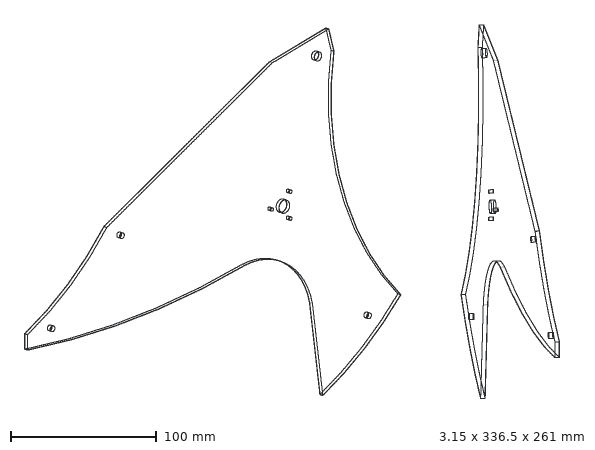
import cadquery as cq

thickness = 3.15
overall_length = 336.5
overall_height = 261.0

nose_forward = 231.5
crest_up = 119.5
tail_forward = nose_forward - overall_length
foot_up = crest_up - overall_height

crest = (-40.0, crest_up)
shoulder = (11.0, 104.7)
brow = (160.2, 14.8)
nose_top = (nose_forward, -48.5)
nose_bottom = (nose_forward, -59.5)
belly_start = (35.5, -35.5)
leg_top = (-25.2, -73.7)
foot = (-34.7, foot_up)
tail = (tail_forward, -82.5)
back_top = (-44.8, 102.5)

brow_curve = (197.5, -24.5)
belly_curve = (104.7, -50.8)
armpit_curve = (-3.5, -42.0)
tail_curve = (-84.0, -104.5)
back_curve = (-54.5, -2.7)

hub_diameter = 9.5
crest_hole_diameter = 6.5
crest_hole = (-30.3, 101.5)
mount_diameter = 4.0
mount_holes = [(146.5, 6.5), (209.0, -48.5), (-76.5, -92.2)]
screw_diameter = 2.4
screw_circle_radius = 11.0
screw_count = 3

plate_plane = cq.Plane(origin=(thickness / 2, 0, 0), xDir=(0, -1, 0), normal=(-1, 0, 0))


def make_plate():
    return (
        cq.Workplane(plate_plane)
        .moveTo(*crest)
        .lineTo(*shoulder)
        .lineTo(*brow)
        .threePointArc(brow_curve, nose_top)
        .lineTo(*nose_bottom)
        .threePointArc(belly_curve, belly_start)
        .threePointArc(armpit_curve, leg_top)
        .lineTo(*foot)
        .threePointArc(tail_curve, tail)
        .threePointArc(back_curve, back_top)
        .close()
        .extrude(thickness)
    )


def hole_cutter(centers, diameter):
    return cq.Workplane(plate_plane).pushPoints(centers).circle(diameter / 2).extrude(thickness)


def screw_cutter():
    return (
        cq.Workplane(plate_plane)
        .polarArray(screw_circle_radius, 0, 360, screw_count)
        .circle(screw_diameter / 2)
        .extrude(thickness)
    )


result = (
    make_plate()
    .cut(hole_cutter([(0, 0)], hub_diameter))
    .cut(hole_cutter([crest_hole], crest_hole_diameter))
    .cut(hole_cutter(mount_holes, mount_diameter))
    .cut(screw_cutter())
)